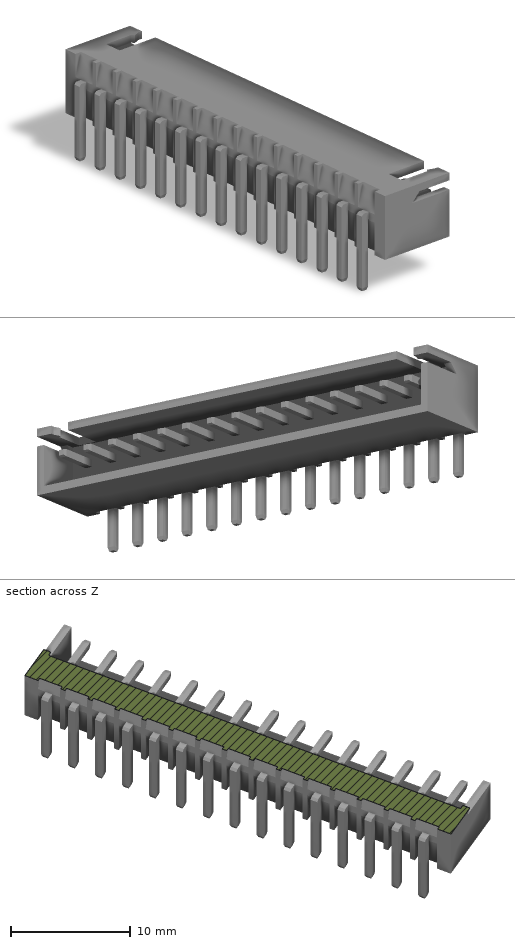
import cadquery as cq


PIN_COUNT = 15
PIN_PITCH = 2.54
PIN_SIZE = 0.64
PIN_X = [(i - (PIN_COUNT - 1) / 2) * PIN_PITCH for i in range(PIN_COUNT)]

LENGTH = 40.23
DEPTH_WITH_LEGS = 8.04
HEIGHT_WITH_LEGS = 9.22

HOUSING_DEPTH = 7.24
HOUSING_HEIGHT = 5.85
WALL = 0.7
CAVITY_DEPTH = 4.18

ARM_WIDTH = 1.47
SLOT_WIDTH = 1.72
SLOT_DEPTH = 4.0
WINDOW_HEIGHT = 0.85
WINDOW_ROOF_DEPTH = 3.36
BARB_START = 0.35
BARB_PEAK = 1.0
BARB_END = 1.2
BARB_HEIGHT = 0.25

RECESS_WIDTH = 2.1
RECESS_DEPTH = 0.6
UPPER_RECESS_HEIGHT = 2.12
LOWER_RECESS_HEIGHT = 2.97

PIN_TOP = HOUSING_HEIGHT - UPPER_RECESS_HEIGHT
LEG_THICKNESS = 0.72
LEG_OUTER_Y = HOUSING_DEPTH - DEPTH_WITH_LEGS
LEG_TIP_Z = HOUSING_HEIGHT - HEIGHT_WITH_LEGS
BEND_CHAMFER = 0.2
CONTACT_TIP_INSET = 0.22
CONTACT_TAPER_LENGTH = 0.35
LEG_TAPER_LENGTH = 0.3
TIP_SIZE = 0.48


def block(x_range, y_range, z_range):
    """Box spanning the given (low, high) ranges."""
    low = (x_range[0], y_range[0], z_range[0])
    size = (x_range[1] - x_range[0], y_range[1] - y_range[0], z_range[1] - z_range[0])
    return cq.Workplane("XY").box(*size, centered=False).translate(low)


def prism_along_x(points, x_middle, width):
    """Extrude a (Y, Z) outline symmetrically about x_middle."""
    return cq.Workplane("YZ", origin=(x_middle - width / 2, 0, 0)).polyline(points).close().extrude(width)


def cavity():
    """Mating cavity, open at +Y, with the same wall on all four sides."""
    half = LENGTH / 2 - WALL
    return block((-half, half), (HOUSING_DEPTH - CAVITY_DEPTH, HOUSING_DEPTH), (WALL, HOUSING_HEIGHT - WALL))


def end_windows():
    """Sloped-end window running through both end walls."""
    roof = HOUSING_HEIGHT - WALL
    sill = roof - WINDOW_HEIGHT
    outline = [
        (HOUSING_DEPTH, roof),
        (HOUSING_DEPTH - WINDOW_ROOF_DEPTH, roof),
        (HOUSING_DEPTH - CAVITY_DEPTH, sill),
        (HOUSING_DEPTH, sill),
    ]
    return prism_along_x(outline, 0, LENGTH)


def latch_slot():
    """Slot in the top wall at the -X end; the end arm carries a small barb."""
    arm_x = -LENGTH / 2 + ARM_WIDTH
    inner_x = arm_x + SLOT_WIDTH
    back_y = HOUSING_DEPTH - SLOT_DEPTH
    barb_start_y = HOUSING_DEPTH - BARB_START
    barb_end_y = HOUSING_DEPTH - BARB_END
    barb_peak = (arm_x + BARB_HEIGHT, HOUSING_DEPTH - BARB_PEAK)
    return (
        cq.Workplane("XY", origin=(0, 0, HOUSING_HEIGHT - WALL))
        .moveTo(arm_x, back_y)
        .lineTo(inner_x, back_y)
        .lineTo(inner_x, HOUSING_DEPTH)
        .lineTo(arm_x, HOUSING_DEPTH)
        .lineTo(arm_x, barb_start_y)
        .lineTo(*barb_peak)
        .lineTo(arm_x, barb_end_y)
        .close()
        .extrude(WALL)
    )


def recess_pair(x):
    """Wedges behind one leg, deepest at the top and bottom faces of the housing."""
    upper = [
        (0, HOUSING_HEIGHT),
        (RECESS_DEPTH, HOUSING_HEIGHT),
        (0, HOUSING_HEIGHT - UPPER_RECESS_HEIGHT),
    ]
    lower = [(0, 0), (RECESS_DEPTH, 0), (0, LOWER_RECESS_HEIGHT)]
    return prism_along_x(upper, x, RECESS_WIDTH).union(prism_along_x(lower, x, RECESS_WIDTH))


def pin(x):
    """L-shaped pin with a tapered contact tip and a tapered leg tip."""
    contact_end = HOUSING_DEPTH - CONTACT_TIP_INSET - CONTACT_TAPER_LENGTH
    leg_end = LEG_TIP_Z + LEG_TAPER_LENGTH
    leg_inner_y = LEG_OUTER_Y + LEG_THICKNESS
    outline = [
        (contact_end, PIN_TOP),
        (LEG_OUTER_Y + BEND_CHAMFER, PIN_TOP),
        (LEG_OUTER_Y, PIN_TOP - BEND_CHAMFER),
        (LEG_OUTER_Y, leg_end),
        (leg_inner_y, leg_end),
        (leg_inner_y, PIN_TOP - PIN_SIZE),
        (contact_end, PIN_TOP - PIN_SIZE),
    ]
    contact_tip = (
        cq.Workplane("XZ", origin=(x, contact_end, PIN_TOP - PIN_SIZE / 2))
        .rect(PIN_SIZE, PIN_SIZE)
        .workplane(offset=-CONTACT_TAPER_LENGTH)
        .rect(TIP_SIZE, TIP_SIZE)
        .loft()
    )
    leg_tip = (
        cq.Workplane("XY", origin=(x, LEG_OUTER_Y + LEG_THICKNESS / 2, leg_end))
        .rect(PIN_SIZE, LEG_THICKNESS)
        .workplane(offset=-LEG_TAPER_LENGTH)
        .rect(TIP_SIZE, TIP_SIZE)
        .loft()
    )
    return prism_along_x(outline, x, PIN_SIZE).union(contact_tip).union(leg_tip)


def housing():
    """Hollow shell with windows, mirrored latch slots and a recess pair behind every leg."""
    body = block((-LENGTH / 2, LENGTH / 2), (0, HOUSING_DEPTH), (0, HOUSING_HEIGHT))
    slot = latch_slot()
    body = body.cut(cavity()).cut(end_windows()).cut(slot).cut(slot.mirror("YZ"))
    for x in PIN_X:
        body = body.cut(recess_pair(x))
    return body


result = housing()
for pin_x in PIN_X:
    result = result.union(pin(pin_x))